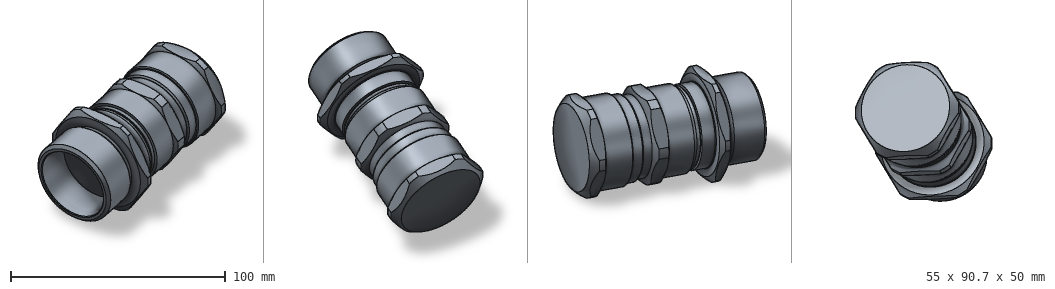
import cadquery as cq
import math

LENGTH = 90.65
NUT_CHAMFER = math.tan(math.radians(30))

THREAD_DIA = 42.0
TIP_DIA = 38.9
TIP_CHAMFER = (THREAD_DIA - TIP_DIA) / 2
THREAD_END = 16.95
RUNOUT_END = THREAD_END + TIP_CHAMFER

BORE_DIA = 35.3
MOUTH_DIA = 36.1
MOUTH_CHAMFER = (MOUTH_DIA - BORE_DIA) / 2
BORE_DEPTH = 17.4

ENTRY_NUT_START = 20.1
ENTRY_NUT_END = 26.0
ENTRY_NUT_FLATS = 50.0
ENTRY_NUT_DIA = 55.0
ENTRY_NUT_FACE_DIA = 48.95

RELIEF_DIA = 40.0
COLLAR_START = 26.5
COLLAR_END = 33.1
COLLAR_DIA = 41.0
FLARE_DIA = 41.5
SEAL_START = 33.4
SEAL_END = 35.5
SEAL_RADIUS = (SEAL_END - SEAL_START) / 2
SEAL_GROOVE_DIA = RELIEF_DIA - 2 * SEAL_RADIUS

SLEEVE_START = 37.4
SLEEVE_DIA = 42.9
MIDDLE_NUT_START = 50.2
MIDDLE_NUT_END = 58.3
MIDDLE_NUT_FLATS = 43.0
MIDDLE_NUT_DIA = 46.9

RING_START = 62.7
RING_DIA = THREAD_DIA
RING_CHAMFER = 0.8
REAR_SLEEVE_START = 68.6
REAR_SLEEVE_DIA = 44.4
REAR_SLEEVE_CHAMFER = 0.5
REAR_NUT_START = 82.6
REAR_NUT_FLATS = 45.0
REAR_NUT_DIA = 49.0
REAR_NUT_FACE_DIA = 41.9


def revolve_about_y(points):
    """Revolve a closed outline of (radius, station) points about the Y axis."""
    return cq.Workplane("XY").polyline(points).close().revolve(360, (0, 0, 0), (0, 1, 0))


def cylinder(dia, start, end):
    radius = dia / 2
    return revolve_about_y([(0, start), (radius, start), (radius, end), (0, end)])


def chamfered_cylinder(dia, start, end, front_dia, front_drop, rear_dia, rear_drop):
    """Cylinder whose ends taper to the given face diameters over the given axial drops."""
    radius = dia / 2
    return revolve_about_y([
        (0, start),
        (front_dia / 2, start),
        (radius, start + front_drop),
        (radius, end - rear_drop),
        (rear_dia / 2, end),
        (0, end),
    ])


def hex_nut(flats, dia, start, end, front_dia, rear_dia, rear_slope=NUT_CHAMFER):
    """Hexagon with flats facing +Z and -Z, trimmed by a chamfered cylinder."""
    corner_dia = flats / math.cos(math.pi / 6)
    prism = cq.Workplane("XZ", origin=(0, start, 0)).polygon(6, corner_dia).extrude(start - end)
    front_drop = (dia - front_dia) / 2 * NUT_CHAMFER
    rear_drop = (dia - rear_dia) / 2 * rear_slope
    envelope = chamfered_cylinder(dia, start, end, front_dia, front_drop, rear_dia, rear_drop)
    return prism.intersect(envelope)


def seal_ring():
    """Seal seated in its groove: a half-round rim flush with the neck beside it."""
    groove_radius = SEAL_GROOVE_DIA / 2
    crest = (RELIEF_DIA / 2, (SEAL_START + SEAL_END) / 2)
    return (
        cq.Workplane("XY")
        .moveTo(0, SEAL_START)
        .lineTo(groove_radius, SEAL_START)
        .threePointArc(crest, (groove_radius, SEAL_END))
        .lineTo(0, SEAL_END)
        .close()
        .revolve(360, (0, 0, 0), (0, 1, 0))
    )


def bore():
    mouth = MOUTH_DIA / 2
    radius = BORE_DIA / 2
    return revolve_about_y([
        (0, 0), (mouth, 0), (radius, MOUTH_CHAMFER), (radius, BORE_DEPTH), (0, BORE_DEPTH),
    ])


entry_thread = chamfered_cylinder(
    THREAD_DIA, 0, RUNOUT_END, TIP_DIA, TIP_CHAMFER, TIP_DIA, TIP_CHAMFER)
entry_neck = cylinder(TIP_DIA, RUNOUT_END, ENTRY_NUT_START)
entry_nut = hex_nut(
    ENTRY_NUT_FLATS, ENTRY_NUT_DIA, ENTRY_NUT_START, ENTRY_NUT_END,
    ENTRY_NUT_FACE_DIA, ENTRY_NUT_FACE_DIA)

flare = revolve_about_y([
    (0, ENTRY_NUT_END), (FLARE_DIA / 2, ENTRY_NUT_END), (COLLAR_DIA / 2, COLLAR_START), (0, COLLAR_START),
])
collar = cylinder(COLLAR_DIA, COLLAR_START, COLLAR_END)
seal_groove = cylinder(SEAL_GROOVE_DIA, COLLAR_END, SEAL_START)
sleeve_neck = cylinder(RELIEF_DIA, SEAL_END, SLEEVE_START)

sleeve = cylinder(SLEEVE_DIA, SLEEVE_START, MIDDLE_NUT_START)
middle_nut = hex_nut(
    MIDDLE_NUT_FLATS, MIDDLE_NUT_DIA, MIDDLE_NUT_START, MIDDLE_NUT_END, SLEEVE_DIA, RELIEF_DIA)

rear_neck = cylinder(RELIEF_DIA, MIDDLE_NUT_END, RING_START)
ring = cylinder(RING_DIA, RING_START, REAR_SLEEVE_START).faces("<Y").chamfer(RING_CHAMFER)
rear_sleeve = (
    cylinder(REAR_SLEEVE_DIA, REAR_SLEEVE_START, REAR_NUT_START)
    .faces("<Y")
    .chamfer(REAR_SLEEVE_CHAMFER)
)
rear_nut = hex_nut(
    REAR_NUT_FLATS, REAR_NUT_DIA, REAR_NUT_START, LENGTH,
    REAR_SLEEVE_DIA, REAR_NUT_FACE_DIA, rear_slope=1)

sections = [
    entry_neck, entry_nut,
    flare, collar, seal_groove, seal_ring(), sleeve_neck,
    sleeve, middle_nut,
    rear_neck, ring, rear_sleeve, rear_nut,
]
result = entry_thread
for section in sections:
    result = result.union(section)
result = result.cut(bore())